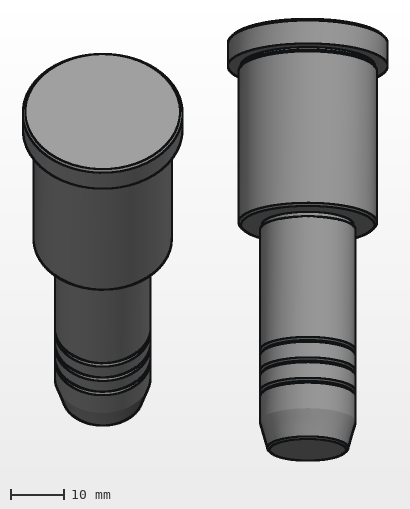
import cadquery as cq

total_height = 80
head_radius = 30.0 / 2
head_height = 5.0
body_radius = 26.0 / 2
body_bottom = 44
shank_radius = 18.0 / 2
edge_chamfer = 0.5

undercut_height = 1.0
undercut_depth = 0.4

groove_count = 3
groove_pitch = 4
lowest_groove_centre = 11.0
groove_half_width = 0.5
groove_depth = 0.5

nose_height = 5.4
tip_radius = 7.6
tip_chamfer = 0.4

head_bottom = total_height - head_height
body_top = head_bottom - undercut_height


def make_cylinder(radius, bottom, top):
    return cq.Workplane("XY").workplane(offset=bottom).circle(radius).extrude(top - bottom)


def revolve_profile(points):
    """Revolve a closed (radius, height) outline about Z."""
    return cq.Workplane("XZ").polyline(points).close().revolve(360, (0, 0), (0, 1))


def make_head():
    head = make_cylinder(head_radius, head_bottom, total_height)
    return head.faces(">Z").chamfer(edge_chamfer)


def make_body():
    """Wide cylinder whose upper end narrows into the undercut below the head."""
    undercut_radius = body_radius - undercut_depth
    undercut_middle = body_top + undercut_height / 2
    return revolve_profile([
        (0, body_bottom),
        (body_radius - edge_chamfer, body_bottom),
        (body_radius, body_bottom + edge_chamfer),
        (body_radius, body_top),
        (undercut_radius, undercut_middle),
        (undercut_radius, head_bottom),
        (0, head_bottom),
    ])


def make_shank():
    """Shank with a plain neck below the body and a tapered nose."""
    neck_radius = shank_radius - undercut_depth
    neck_bottom = body_bottom - undercut_height
    return revolve_profile([
        (0, 0),
        (tip_radius - tip_chamfer, 0),
        (tip_radius, tip_chamfer),
        (shank_radius, nose_height),
        (shank_radius, neck_bottom),
        (neck_radius, neck_bottom),
        (neck_radius, body_bottom),
        (0, body_bottom),
    ])


def make_groove_cutter(centre):
    """Ring with a V-shaped section pointing at the axis."""
    return revolve_profile([
        (shank_radius, centre - groove_half_width),
        (shank_radius - groove_depth, centre),
        (shank_radius, centre + groove_half_width),
    ])


result = make_head().union(make_body()).union(make_shank())
for index in range(groove_count):
    result = result.cut(make_groove_cutter(lowest_groove_centre + index * groove_pitch))